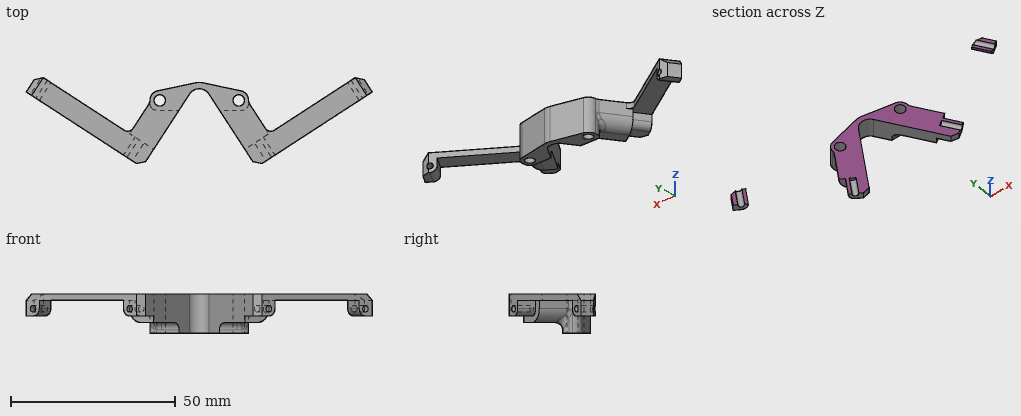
import math

import cadquery as cq

height = 12.0

arch_radius = 3.5
arch_wall = 2.0
screw_spacing = 24.0
screw_hole_diameter = 3.4
boss_radius = 3.0
hub_corner_radius = 2.0
hub_blend_radius = 2.25

leg_angle = 33.0
leg_reach = 26.5
arm_length = 42.0
arm_width = 6.5
arm_thickness = 2.0
corner_chamfer = 2.0
elbow_radius = 2.0

foot_height = 6.75
foot_radius = 2.25
pin_hole_diameter = 2.0
pin_spacing = 35.0
pin_inset = 2.5
leg_wall_beyond_foot = 2.0

foot_bottom = height - foot_height
arm_bottom = height - arm_thickness
pin_z = foot_bottom + foot_radius
leg_radius = foot_radius + leg_wall_beyond_foot
leg_bottom = pin_z - leg_radius
inner_x = -arch_radius
tip_x = inner_x - arm_length
outer_pin_x = tip_x + pin_inset
inner_pin_x = outer_pin_x + pin_spacing
outer_foot_x = outer_pin_x + foot_radius
inner_foot_x = inner_pin_x - foot_radius
leg_outer_x = inner_pin_x - leg_radius
arm_front_y = -leg_reach
arm_back_y = arm_front_y + arm_width
boss_x = -screw_spacing / 2
boss_left = boss_x - boss_radius
hub_front = -boss_radius
angle = math.radians(leg_angle)
hub_inner_x = (inner_x + hub_front * math.sin(angle)) / math.cos(angle)
rim_radius = arch_radius + arch_wall
rim_tilt = math.asin((rim_radius - boss_radius) / -boss_x)
leg_end_y = boss_x * math.sin(angle) + screw_hole_diameter / 2


def rotated(shape):
    """Turn a shape from the arm frame into its place on the left side."""
    return shape.rotate((0, 0, 0), (0, 0, 1), -leg_angle)


def across_leg(start_y):
    """Workplane across the leg: sketched in X and Z, with negative extrusion toward +Y."""
    return cq.Workplane("XZ", origin=(0, start_y, 0))


def make_arm():
    """Arm with its two feet, a bevelled tip, chamfered corners and pin holes."""
    arm = (
        across_leg(arm_front_y)
        .moveTo(tip_x, foot_bottom)
        .lineTo(outer_foot_x - foot_radius, foot_bottom)
        .radiusArc((outer_foot_x, pin_z), -foot_radius)
        .lineTo(outer_foot_x, arm_bottom)
        .lineTo(inner_foot_x, arm_bottom)
        .lineTo(inner_foot_x, pin_z)
        .radiusArc((inner_pin_x, foot_bottom), -foot_radius)
        .lineTo(inner_x, foot_bottom)
        .lineTo(inner_x, height)
        .lineTo(tip_x + corner_chamfer, height)
        .lineTo(tip_x, height - corner_chamfer)
        .close()
        .extrude(-arm_width)
    )
    cutter_side = corner_chamfer * math.sqrt(2)
    for corner_x, corner_y in ((tip_x, arm_back_y), (inner_x, arm_front_y)):
        cutter = (
            cq.Workplane("XY")
            .center(corner_x, corner_y)
            .rect(cutter_side, cutter_side)
            .extrude(height)
            .rotate((corner_x, corner_y, 0), (corner_x, corner_y, 1), 45)
        )
        arm = arm.cut(cutter)
    pins = (
        across_leg(arm_front_y)
        .pushPoints([(outer_pin_x, pin_z), (inner_pin_x, pin_z)])
        .circle(pin_hole_diameter / 2)
        .extrude(-arm_width)
    )
    return rotated(arm.cut(pins))


def make_leg():
    """Leg from the arm up to the hub, rounded along its outer lower edge."""
    leg = (
        across_leg(arm_back_y)
        .moveTo(inner_x, height)
        .lineTo(leg_outer_x, height)
        .lineTo(leg_outer_x, pin_z)
        .radiusArc((inner_pin_x, leg_bottom), -leg_radius)
        .lineTo(inner_x, leg_bottom)
        .close()
        .extrude(arm_back_y - leg_end_y)
    )
    return rotated(leg)


def make_elbow():
    """Rounded web filling the inside corner between arm and leg."""
    elbow = (
        cq.Workplane("XY", origin=(0, 0, arm_bottom))
        .moveTo(leg_outer_x, arm_back_y)
        .lineTo(leg_outer_x, arm_back_y + elbow_radius)
        .radiusArc((leg_outer_x - elbow_radius, arm_back_y), elbow_radius)
        .close()
        .extrude(arm_thickness)
    )
    return rotated(elbow)


def make_hub():
    """Left half of the hub: boss, half arch and the wall between them."""
    tilt_x = -math.sin(rim_tilt)
    tilt_y = math.cos(rim_tilt)
    mid_tilt = (rim_tilt + math.pi / 2) / 2
    arch_start = (-arch_radius * math.cos(angle), arch_radius * math.sin(angle))
    return (
        cq.Workplane("XY")
        .moveTo(0, arch_radius)
        .lineTo(0, rim_radius)
        .radiusArc((rim_radius * tilt_x, rim_radius * tilt_y), -rim_radius)
        .lineTo(boss_x + boss_radius * tilt_x, boss_radius * tilt_y)
        .threePointArc(
            (boss_x - boss_radius * math.sin(mid_tilt), boss_radius * math.cos(mid_tilt)),
            (boss_left, 0),
        )
        .lineTo(boss_left, hub_front + hub_corner_radius)
        .radiusArc((boss_left + hub_corner_radius, hub_front), -hub_corner_radius)
        .lineTo(hub_inner_x, hub_front)
        .lineTo(*arch_start)
        .radiusArc((0, arch_radius), arch_radius)
        .close()
        .extrude(height)
    )


def make_leg_and_hub():
    """Leg joined to the hub, with a concave blend where the leg's underside meets the hub front."""
    joined = make_hub().union(make_leg())
    joint_middle = ((boss_left + hub_corner_radius + hub_inner_x) / 2, hub_front, leg_bottom)
    joint = cq.selectors.NearestToPointSelector(joint_middle)
    return joined.edges(joint).fillet(hub_blend_radius)


def make_screw_hole():
    """Clearance hole through the boss."""
    return cq.Workplane("XY").center(boss_x, 0).circle(screw_hole_diameter / 2).extrude(height)


left_half = make_leg_and_hub().union(make_arm()).union(make_elbow()).cut(make_screw_hole())
result = left_half.union(left_half.mirror("YZ"))